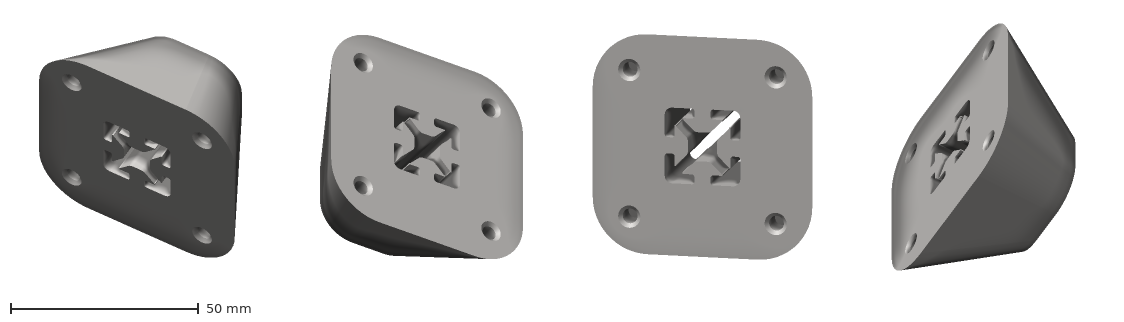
import cadquery as cq

depth = 30.0
front_side = 60.0
front_corner_radius = 15.0
back_side = front_side / 2
back_corner_radius = 10.0

profile_half = 10.3
profile_corner_radius = 2.0
core_half = 3.95
core_corner_radius = 2.0
slot_mouth_half = 2.2
lip_inner = 7.6
lip_radius = 0.7
slot_wide_half = 5.5
slot_side_end = 7.2
slope_core_half = 2.05

screw_offset = front_side / 3
screw_diameter = 4.0
screw_depth = 8.0
countersink_diameter = 6.05
countersink_depth = 0.95

overcut = 0.6


def rounded_square(side, corner_radius):
    return cq.Sketch().rect(side, side).vertices().fillet(corner_radius)


def front_plane(y):
    """Plane facing -Y at the given depth, with local x along X and local y along Z."""
    return cq.Plane(origin=(0, y, 0), xDir=(1, 0, 0), normal=(0, -1, 0))


def make_body():
    return (
        cq.Workplane(front_plane(0))
        .placeSketch(
            rounded_square(front_side, front_corner_radius),
            rounded_square(back_side, back_corner_radius).moved(cq.Location(cq.Vector(0, 0, -depth))),
        )
        .loft()
    )


def extrude_through(outline):
    return outline.extrude(-depth - 2 * overcut)


def fillet_at(solid, x, z, radius):
    """Round the depth-wise edge that passes through (x, z)."""
    edge = cq.selectors.NearestToPointSelector((x, depth / 2, z))
    return solid.edges("|Y").edges(edge).fillet(radius)


def make_slot():
    """T-slot tongue on the +Z side, left solid inside the extrusion opening."""
    slope_end = slope_core_half + slot_side_end - core_half
    right_side = [
        (slope_core_half, core_half),
        (slope_end, slot_side_end),
        (slot_wide_half, slot_side_end),
        (slot_wide_half, lip_inner),
        (slot_mouth_half, lip_inner),
        (slot_mouth_half, profile_half),
    ]
    left_side = [(-x, z) for x, z in reversed(right_side)]
    slot = extrude_through(cq.Workplane(front_plane(-overcut)).polyline(right_side + left_side).close())
    for side in (-1, 1):
        slot = fillet_at(slot, side * slope_core_half, core_half, core_corner_radius)
        slot = fillet_at(slot, side * slot_mouth_half, lip_inner, lip_radius)
    return slot


def make_extrusion_opening():
    square = rounded_square(2 * profile_half, profile_corner_radius)
    opening = extrude_through(cq.Workplane(front_plane(-overcut)).placeSketch(square))
    slot = make_slot()
    for quarter in range(4):
        opening = opening.cut(slot.rotate((0, 0, 0), (0, 1, 0), 90 * quarter))
    for side in (-1, 1):
        for end in (-1, 1):
            opening = fillet_at(opening, side * slot_mouth_half, end * profile_half, lip_radius)
            opening = fillet_at(opening, side * profile_half, end * slot_mouth_half, lip_radius)
    return opening


def make_screw_hole():
    screw_radius = screw_diameter / 2
    section = [
        (0, 0),
        (countersink_diameter / 2, 0),
        (screw_radius, countersink_depth),
        (screw_radius, screw_depth),
        (0, screw_depth),
    ]
    return cq.Workplane("XY").polyline(section).close().revolve(360, (0, 0), (0, 1))


result = make_body().cut(make_extrusion_opening())
for x in (-screw_offset, screw_offset):
    for z in (-screw_offset, screw_offset):
        result = result.cut(make_screw_hole().translate((x, 0, z)))